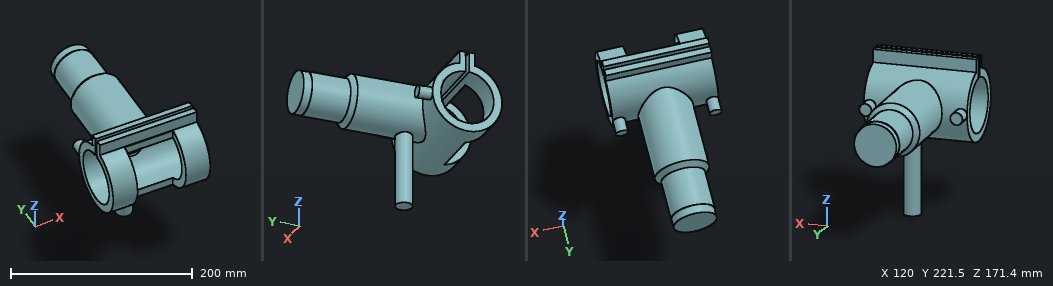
import cadquery as cq

overall_length = 221.5

ring_width = 120.0
ring_radius = 41.5
bore_radius = 31.5

lug_top = 55.4
lug_pair_thickness = 18.2
slot_width = 4.0

window_width = 59.8
window_edge_y = -9.7

barrel_radius = 31.0
barrel_shoulder_y = 118.5
neck_radius = 25.0
neck_start_y = 124.5

plug_head_radius = 24.5
plug_head_length = 10.0
plug_stem_radius = 15.0
plug_end_y = overall_length - ring_radius
neck_end_y = plug_end_y - plug_head_length

handle_radius = 10.0
handle_y = 51.0
handle_bottom = -116.0

peg_radius = 7.0
peg_end_y = 57.0
peg_x = ring_width / 2 - peg_radius


def cylinder_along_y(radius, start_y, end_y, x=0):
    """Solid cylinder parallel to Y at height zero."""
    axis = cq.Vector(0, 1, 0)
    return cq.Workplane(cq.Solid.makeCylinder(radius, end_y - start_y, cq.Vector(x, start_y, 0), axis))


def cylinder_along_x(radius):
    """Solid cylinder along X, as wide as the ring."""
    return cq.Workplane("YZ").circle(radius).extrude(ring_width / 2, both=True)


def upright_plate(thickness):
    """Plate as wide as the ring, from the ring axis to the top of the lugs."""
    return cq.Workplane("XY").rect(ring_width, thickness).extrude(lug_top)


def make_barrel():
    """Stepped barrel with a conical shoulder, revolved about Y."""
    profile = [
        (0, 0),
        (barrel_radius, 0),
        (barrel_radius, barrel_shoulder_y),
        (neck_radius, neck_start_y),
        (neck_radius, neck_end_y),
        (0, neck_end_y),
    ]
    return cq.Workplane("XY").polyline(profile).close().revolve(360, (0, 0), (0, 1))


def make_handle():
    """Round rod hanging from the barrel axis."""
    return cq.Workplane("XY").center(0, handle_y).circle(handle_radius).extrude(handle_bottom)


def make_window():
    """Block that opens the middle of the ring on the -Y side."""
    depth = ring_radius + window_edge_y
    center_y = window_edge_y - depth / 2
    return cq.Workplane("XY").box(window_width, depth, 2 * ring_radius).translate((0, center_y, 0))


def make_housing():
    """Ring, lugs, barrel, handle and pegs in one solid, bored for the plug stem."""
    housing = cylinder_along_x(ring_radius).union(upright_plate(lug_pair_thickness))
    housing = housing.union(make_barrel()).union(make_handle())
    for side in (-1, 1):
        housing = housing.union(cylinder_along_y(peg_radius, 0, peg_end_y, side * peg_x))
    housing = housing.cut(cylinder_along_x(bore_radius))
    housing = housing.cut(upright_plate(slot_width)).cut(make_window())
    return housing.cut(cylinder_along_y(plug_stem_radius, 0, neck_end_y))


def make_plug():
    """Head on the end of the barrel and a stem reaching to the bore of the ring."""
    head = cylinder_along_y(plug_head_radius, neck_end_y, plug_end_y)
    return head.union(cylinder_along_y(plug_stem_radius, bore_radius, neck_end_y))


housing = make_housing()
plug = make_plug()
result = cq.Compound.makeCompound([housing.solids().val(), plug.solids().val()])